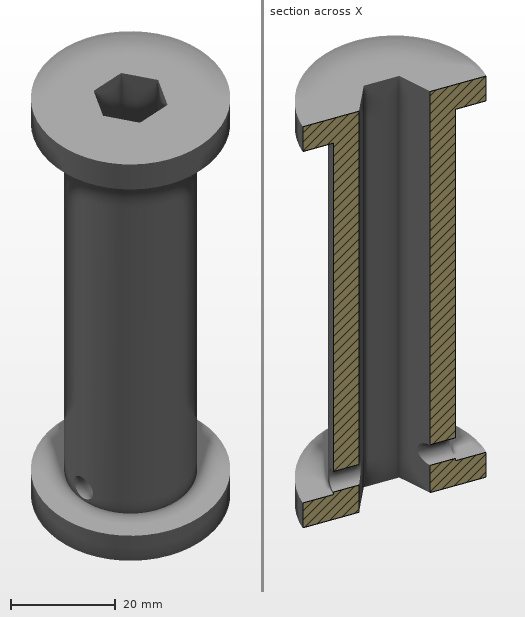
import cadquery as cq
import math

total_length = 101.6
flange_diameter = 38.1
flange_thickness = 6.4
barrel_diameter = 25.4

hex_across_flats = 12.7
hex_across_corners = hex_across_flats / math.cos(math.radians(30))
hex_rotation = 30.0

cross_hole_diameter = 5.1
cross_hole_height = 9.5

bottom_z = -total_length / 2


def cylinder(diameter, length, start_z):
    return cq.Workplane("XY", origin=(0, 0, start_z)).circle(diameter / 2).extrude(length)


def hex_bore():
    profile = cq.Workplane("XY", origin=(0, 0, bottom_z)).transformed(rotate=(0, 0, hex_rotation))
    return profile.polygon(6, hex_across_corners).extrude(total_length)


def cross_hole():
    center = (0, 0, bottom_z + cross_hole_height)
    profile = cq.Workplane("XZ", origin=center).circle(cross_hole_diameter / 2)
    return profile.extrude(barrel_diameter / 2, both=True)


spool = cylinder(barrel_diameter, total_length, bottom_z)
for flange_z in (bottom_z, bottom_z + total_length - flange_thickness):
    spool = spool.union(cylinder(flange_diameter, flange_thickness, flange_z))

result = spool.cut(hex_bore()).cut(cross_hole())